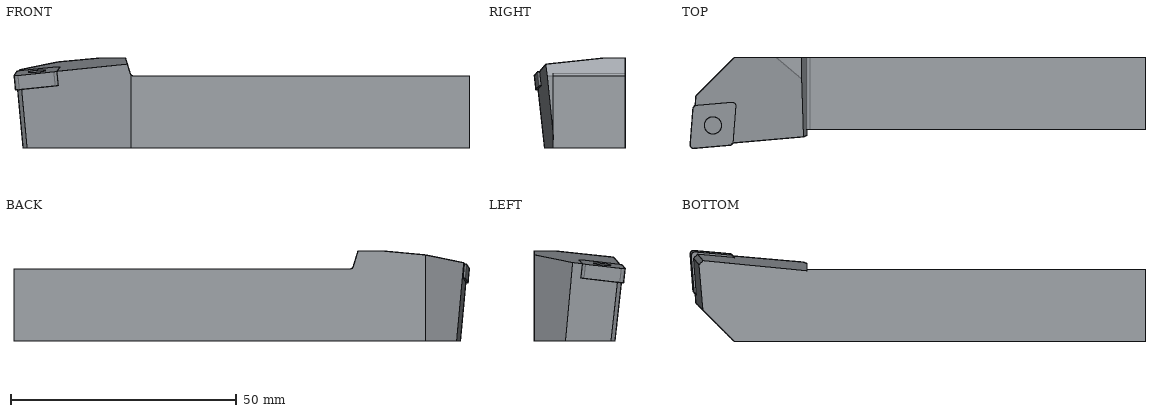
import cadquery as cq
import math

total_length = 101.0
shank_size = 16.0
shank_start = 26.0

head_width = 20.2
head_height = 20.0
back_slope_top = 24.7
back_corner_chamfer = 9.8
back_root_radius = 0.8
head_corner_setback = 0.4
head_corner_chamfer = 1.0

top_rise_x = 0.093
top_rise_y = 0.11

nose_angle = 80.0
insert_inscribed_diameter = 9.52
insert_thickness = 3.18
insert_nose_radius = 0.8
insert_hole_diameter = 3.8

half_nose = math.radians(nose_angle / 2)
edge_angle = math.radians((90 - nose_angle) / 2)
insert_corner = insert_nose_radius * (1 - math.cos(math.pi / 4) / math.sin(half_nose))
insert_side = insert_inscribed_diameter / math.sin(2 * half_nose)

wedge_side = 2 * total_length
wedge_depth = 2 * head_height

tilted_top = cq.Plane(
    origin=(0, -head_width, shank_size),
    xDir=(1, 0, top_rise_x),
    normal=(-top_rise_x, -top_rise_y, 1),
)


def rhombus_prism(side, depth, corner):
    """Rhombus on the tilted plane, extruded down along the plane normal."""
    along = side * math.cos(edge_angle)
    across = side * math.sin(edge_angle)
    points = [
        (corner, corner),
        (corner + along, corner + across),
        (corner + along + across, corner + along + across),
        (corner + across, corner + along),
    ]
    return cq.Workplane(tilted_top).polyline(points).close().extrude(-depth)


def make_insert_blank():
    blank = rhombus_prism(insert_side, insert_thickness, insert_corner)
    return blank.edges(cq.selectors.ParallelDirSelector(tilted_top.zDir)).fillet(insert_nose_radius)


def make_insert():
    centre = insert_corner + insert_side * math.cos(half_nose) * math.cos(math.pi / 4)
    hole = (
        cq.Workplane(tilted_top)
        .center(centre, centre)
        .circle(insert_hole_diameter / 2)
        .extrude(-insert_thickness)
    )
    return make_insert_blank().cut(hole)


def make_head():
    block = (
        cq.Workplane("XZ")
        .polyline([
            (0, 0),
            (shank_start, 0),
            (shank_start, shank_size),
            (back_slope_top, head_height),
            (0, head_height),
        ])
        .close()
        .extrude(head_width)
    )
    corner_cut = (
        cq.Workplane("XY")
        .polyline([(0, 0), (back_corner_chamfer, 0), (0, -back_corner_chamfer)])
        .close()
        .extrude(head_height)
    )
    wedge = rhombus_prism(wedge_side, wedge_depth, head_corner_setback)
    nose_edge = cq.selectors.NearestToPointSelector((0, -head_width, 0))
    wedge = (
        wedge.edges(cq.selectors.ParallelDirSelector(tilted_top.zDir))
        .edges(nose_edge)
        .chamfer(head_corner_chamfer)
    )
    return block.cut(corner_cut).intersect(wedge)


def make_holder():
    shank = cq.Workplane("XY").box(
        total_length - shank_start, shank_size, shank_size, centered=False
    ).translate((shank_start, -shank_size, 0))
    holder = make_head().union(shank)
    root_point = (shank_start, -shank_size / 2, shank_size)
    holder = holder.edges(cq.selectors.NearestToPointSelector(root_point)).fillet(back_root_radius)
    return holder.cut(make_insert())


insert = make_insert()
holder = make_holder()

result = cq.Compound.makeCompound([holder.val(), insert.val()])